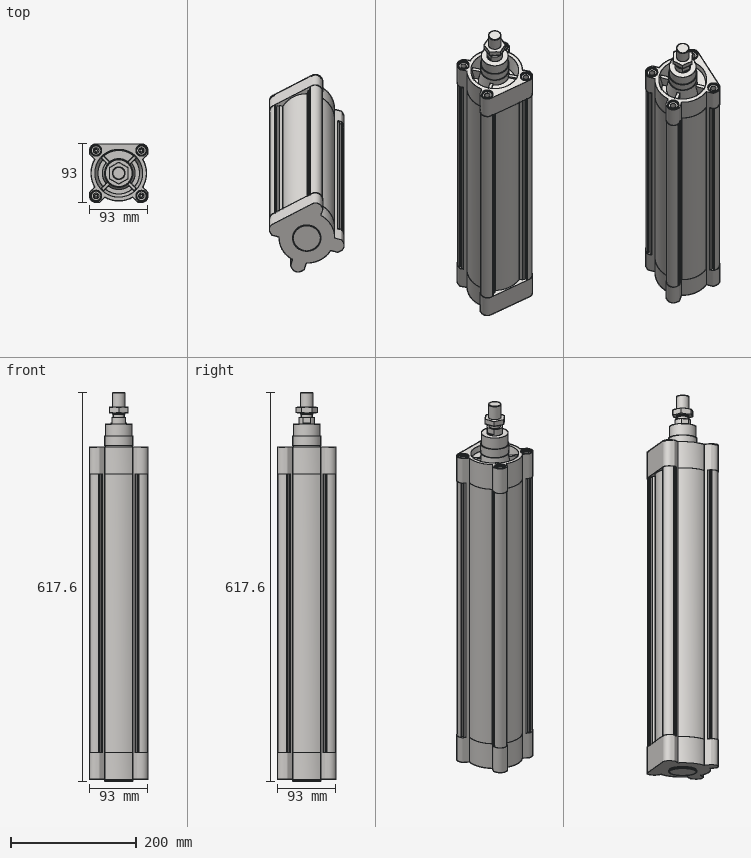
import cadquery as cq
import math


width = 93.0
half_width = width / 2
barrel_radius = 44.2
screw_spacing = 72.0
body_length = 528.0
cap_length = 43.0
tube_length = body_length - 2 * cap_length

screw_offset = screw_spacing / 2
cap_corner_radius = half_width - screw_offset
tube_corner_radius = 12.0
lobe_flank_sum = 16.0
lobe_edge_round = 3.5
lobe_shoulder = 38.3
tube_inset = 0.1

slot_mouth_width, slot_mouth_depth = 9.5, 1.5
slot_groove_width, slot_groove_depth = 3.0, 4.5
slot_center = 29.5

collar_diameter = 45.0
neck_diameter = 43.0
front_neck_height = 2.0
front_collar_top = 17.0
boss_height = 36.0
boss_diameter = 42.5
rear_collar_length = 3.6
rear_neck_length = 1.6
rear_collar_chamfer = 0.8

pocket_depth = 25.0
pocket_top_outer, pocket_floor_outer = 38.0, 33.0
pocket_top_inner, pocket_floor_inner = neck_diameter / 2, 26.0
rib_width = 5.0
rib_drop = 6.0
port_side_drop = 9.0

screw_recesses = [(17.9, 1.0), (15.8, 2.0), (15.0, 3.0), (8.8, 16.0), (4.46, 20.0)]

rod_diameter = 25.0
rod_end = 47.0
rod_top = 86.0
rod_bottom = -cap_length
flat_spacing = 22.0
flat_bottom = 38.0
thread_diameter = 20.0
thread_core = 18.38
thread_start = 51.5
undercut_diameter = 17.9
thread_chamfer = (thread_diameter - thread_core) / 2

nut_across_flats = 30.0
nut_thickness = 9.0
nut_bottom = 54.0
nut_across_corners = nut_across_flats / math.cos(math.pi / 6)
nut_face_diameter = nut_across_flats
nut_chamfer_angle = 15.0
nut_chamfer_run = (nut_across_corners - nut_face_diameter) / 2
nut_chamfer_height = nut_chamfer_run * math.tan(math.radians(nut_chamfer_angle))


def cylinder(diameter, bottom, top):
    return cq.Workplane("XY").workplane(offset=bottom).circle(diameter / 2).extrude(top - bottom)


def round_edge(body, x, y, z, radius):
    """Round the upright edge of body whose middle lies at (x, y, z)."""
    return body.edges("|Z").edges(cq.selectors.NearestToPointSelector((x, y, z))).fillet(radius)


def lobe(bottom, length, side, corner_radius):
    """Corner lobe in the +X +Y quadrant, with two 45 degree flanks and its outer faces at side."""
    flank_end = lobe_shoulder - lobe_flank_sum
    flank_edge = side - lobe_flank_sum
    outline = [
        (0, 0),
        (lobe_shoulder, 0),
        (lobe_shoulder, flank_end),
        (side, flank_edge),
        (side, side),
        (flank_edge, side),
        (flank_end, lobe_shoulder),
        (0, lobe_shoulder),
    ]
    body = cq.Workplane("XY").workplane(offset=bottom).polyline(outline).close().extrude(length)
    middle = bottom + length / 2
    body = round_edge(body, side, side, middle, corner_radius)
    body = round_edge(body, side, flank_edge, middle, lobe_edge_round)
    return round_edge(body, flank_edge, side, middle, lobe_edge_round)


def profile_block(bottom, length, inset, corner_radius):
    """Round barrel with a lobe at each of the four corners."""
    block = cylinder(2 * (barrel_radius - inset), bottom, bottom + length)
    corner = lobe(bottom, length, half_width - inset, corner_radius)
    for quarter in range(4):
        block = block.union(corner.rotate((0, 0, 0), (0, 0, 1), 90 * quarter))
    return block


def cap(bottom):
    """End cap: the barrel profile with its +Y side filled out to a flat face."""
    flat_side = cq.Workplane("XY").box(
        screw_spacing, half_width, cap_length, centered=(True, False, False)
    )
    block = profile_block(bottom, cap_length, 0, cap_corner_radius)
    return block.union(flat_side.translate((0, 0, bottom)))


def sensor_slots(bottom, length):
    """Two stepped slots per lobe, sunk at right angles into the 45 degree flanks."""
    slot = cq.Workplane("XY")
    for slot_width, slot_depth in [
        (slot_mouth_width, slot_mouth_depth),
        (slot_groove_width, slot_groove_depth),
    ]:
        step = cq.Workplane("XY").box(slot_width, 2 * slot_depth, length, centered=(True, True, False))
        slot = slot.union(step)
    slot = slot.rotate((0, 0, 0), (0, 0, 1), 45)
    slot = slot.translate((slot_center, slot_center + lobe_flank_sum, bottom))
    slots = cq.Workplane("XY")
    for quarter in range(4):
        for half in (slot, slot.mirror("YZ")):
            slots = slots.add(half.rotate((0, 0, 0), (0, 0, 1), 90 * quarter))
    return slots.vals()


def front_pocket():
    """Ring pocket with drafted walls, divided by diagonal ribs; shallow on the +Y side."""
    ring = (
        cq.Workplane("XZ")
        .polyline([
            (pocket_top_inner, 0),
            (pocket_top_outer, 0),
            (pocket_floor_outer, -pocket_depth),
            (pocket_floor_inner, -pocket_depth),
        ])
        .close().revolve(360, (0, 0, 0), (0, 1, 0))
    )
    rib_height = pocket_depth - rib_drop
    for angle in (45, 135):
        rib = cq.Workplane("XY").box(width, rib_width, rib_height, centered=(True, True, False))
        ring = ring.cut(rib.rotate((0, 0, 0), (0, 0, 1), angle).translate((0, 0, -pocket_depth)))
    port_side = (
        cq.Workplane("XY").workplane(offset=-pocket_depth)
        .polyline([(0, 0), (half_width, half_width), (-half_width, half_width)]).close()
        .extrude(pocket_depth - port_side_drop)
    )
    return ring.cut(port_side)


def make_housing():
    rear_face = -body_length
    housing = profile_block(rear_face + cap_length, tube_length, tube_inset, tube_corner_radius)
    for slot in sensor_slots(rear_face + cap_length, tube_length):
        housing = housing.cut(cq.Workplane(slot))
    for cap_bottom in (rear_face, -cap_length):
        housing = housing.union(cap(cap_bottom))

    housing = housing.cut(front_pocket())
    housing = housing.union(cylinder(neck_diameter, 0, front_neck_height))
    housing = housing.union(cylinder(collar_diameter, front_neck_height, front_collar_top))
    housing = housing.union(cylinder(boss_diameter, front_collar_top, boss_height))

    for diameter, depth in screw_recesses:
        recess = (
            cq.Workplane("XY").rect(screw_spacing, screw_spacing, forConstruction=True).vertices()
            .circle(diameter / 2).extrude(-depth)
        )
        housing = housing.cut(recess)

    rear_collar = cylinder(
        collar_diameter, rear_face - rear_collar_length, rear_face - rear_neck_length
    ).faces("<Z").chamfer(rear_collar_chamfer)
    housing = housing.union(cylinder(neck_diameter, rear_face - rear_neck_length, rear_face))
    housing = housing.union(rear_collar)

    return housing.cut(cylinder(rod_diameter, rod_bottom, boss_height))


def make_rod():
    rod = cylinder(rod_diameter, rod_bottom, rod_end)
    flat_height = rod_end - flat_bottom
    for side in (-1, 1):
        flat = cq.Workplane("XY").box(rod_diameter, rod_diameter, flat_height, centered=(True, True, False))
        rod = rod.cut(flat.translate((side * (flat_spacing + rod_diameter) / 2, 0, flat_bottom)))
    thread = cylinder(thread_diameter, thread_start, rod_top).faces("<Z or >Z").chamfer(thread_chamfer)
    return rod.union(cylinder(undercut_diameter, rod_end, thread_start)).union(thread)


def make_nut():
    """Hexagon nut with corners on the Y axis and both faces chamfered."""
    blank = (
        cq.Workplane("XY").workplane(offset=nut_bottom)
        .polygon(6, nut_across_corners).extrude(nut_thickness)
        .rotate((0, 0, 0), (0, 0, 1), 30)
    )
    turned = cylinder(nut_across_corners, nut_bottom, nut_bottom + nut_thickness)
    turned = turned.faces("<Z or >Z").chamfer(nut_chamfer_height, nut_chamfer_run)
    nut = blank.intersect(turned)
    return nut.cut(cylinder(thread_diameter, nut_bottom, nut_bottom + nut_thickness))


housing = make_housing()
rod = make_rod()
nut = make_nut()

result = cq.Compound.makeCompound([housing.val(), rod.val(), nut.val()])